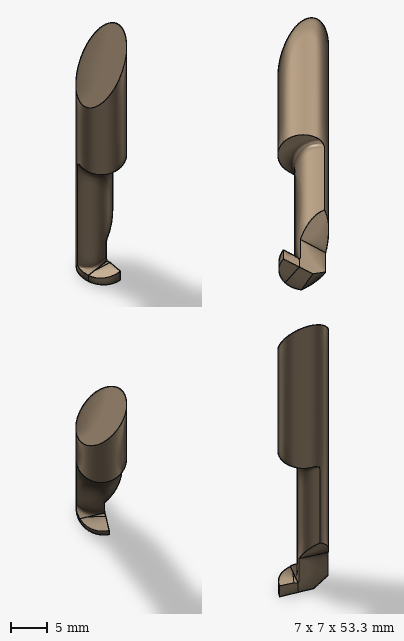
import cadquery as cq
import math

length = 53.3
diameter = 7.0
radius = diameter / 2
bevel_angle = 30.0

neck_offset = 2.75
neck_top = 26.4
neck_top_fillet = 0.95
foot_height = 1.85
foot_fillet = 0.4

flat_y = 0.3
flat_top = 6.45

chamfer_start = 2.15
heel_x = -neck_offset / 2

seat_x = 0.85
tip_height = 2.1
tip_ramp_end = 1.45
relief_angle = 5.0
bottom_angle = 2.0

margin = 5.35
reach = radius + margin
relief_slope = math.tan(math.radians(relief_angle))
heel_rise = (radius - heel_x) * math.tan(math.radians(bottom_angle))

heel_y = -math.sqrt(radius ** 2 - heel_x ** 2)
edge_x = math.sqrt(radius ** 2 - flat_y ** 2)
flank_x = (edge_x ** 2 - heel_x ** 2 - (heel_y - flat_y) ** 2) / (2 * (edge_x - heel_x))
flank_radius = edge_x - flank_x


def slab(x_min, x_max, y_min, y_max, z_min, z_max):
    """Return a box given by its limits."""
    box = cq.Workplane("XY").box(x_max - x_min, y_max - y_min, z_max - z_min, centered=False)
    return box.translate((x_min, y_min, z_min))


def prism_along_x(points):
    """Extrude a (y, z) outline across the whole part."""
    return cq.Workplane("YZ").polyline(points).close().extrude(reach, both=True)


def prism_along_y(points):
    """Extrude an (x, z) outline across the whole part."""
    return cq.Workplane("XZ").polyline(points).close().extrude(reach, both=True)


def cut_top_bevel(body):
    """Slant the upper end down towards -Y."""
    slope = 1 / math.tan(math.radians(bevel_angle))
    z_low = length - (radius + reach) * slope
    z_high = length + margin * slope
    return body.cut(prism_along_x([(-reach, z_low), (reach, z_high), (-reach, z_high)]))


def cut_rake_flat(body):
    """Remove the +Y half of the lower end, with a slope above the flat."""
    slope_top = flat_top + (reach - flat_y) / math.tan(math.radians(bevel_angle))
    outline = [(flat_y, -margin), (flat_y, flat_top), (reach, slope_top), (reach, -margin)]
    return body.cut(prism_along_x(outline))


def cut_bottom_relief(body):
    """Tilt the bottom up towards -Y and -X."""
    cutter = slab(-2 * reach, 2 * reach, -2 * reach, 2 * reach, -margin, 0)
    cutter = cutter.rotate((0, 0, 0), (1, 0, 0), -relief_angle)
    cutter = cutter.rotate((0, 0, 0), (0, 1, 0), bottom_angle)
    return body.cut(cutter.translate((radius, flat_y, 0)))


def cut_heel_chamfer(body):
    """Bevel the -X side of the lower end."""
    slope = (chamfer_start - heel_rise) / (radius + heel_x)
    z_outer = chamfer_start + margin * slope
    z_inner = heel_rise - (reach + heel_x) * slope
    return body.cut(prism_along_y([(-reach, z_outer), (reach + 2 * heel_x, z_inner), (-reach, z_inner)]))


def cut_flank(body):
    """Trim the outer side of the hook to the flank arc."""
    hook = slab(heel_x, reach, -reach, flat_y, 0, tip_height)
    flank = cq.Workplane("XY").center(flank_x, flat_y).circle(flank_radius).extrude(tip_height)
    return body.cut(hook.cut(flank))


def neck_cutter():
    """Ring around the neck cylinder, rounded where it meets shank and foot."""
    ring_radius = radius + neck_offset + margin
    profile = (
        cq.Workplane("XZ")
        .moveTo(ring_radius, foot_height)
        .lineTo(radius + foot_fillet, foot_height)
        .radiusArc((radius, foot_height + foot_fillet), foot_fillet)
        .lineTo(radius, neck_top - neck_top_fillet)
        .radiusArc((radius + neck_top_fillet, neck_top), neck_top_fillet)
        .lineTo(ring_radius, neck_top)
        .close()
    )
    return profile.revolve(360, (0, 0, 0), (0, 1, 0)).translate((-neck_offset, 0, 0))


def make_bar():
    """Shank, neck and foot, ending at the tip seat."""
    body = cq.Workplane("XY").circle(radius).extrude(length)
    body = cut_top_bevel(body)
    body = body.cut(neck_cutter())
    body = body.cut(slab(seat_x, reach, -reach, reach, -margin, foot_height + margin))
    body = cut_rake_flat(body)
    body = cut_flank(body)
    body = cut_bottom_relief(body)
    return cut_heel_chamfer(body)


def make_tip():
    """Cutting tip seated against the side of the foot."""
    body = cq.Workplane("XY").circle(radius).extrude(tip_height)
    body = body.intersect(slab(seat_x, reach, -reach, flat_y, 0, tip_height))
    body = cut_flank(body)
    body = cut_bottom_relief(body)
    drop = (flat_y + reach) * relief_slope
    body = body.cut(prism_along_x([(flat_y, tip_height), (-reach, tip_height), (-reach, tip_height - drop)]))
    ramp = [(seat_x, foot_height), (tip_ramp_end, tip_height), (seat_x, tip_height)]
    return body.cut(prism_along_y(ramp))


bar = make_bar()
tip = make_tip()
result = cq.Compound.makeCompound([bar.val(), tip.val()])